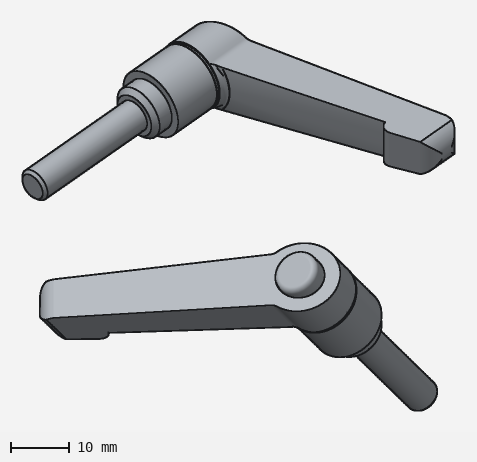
import cadquery as cq
import math

stud_radius = 3.0
stud_chamfer = 0.6
collar_radius = 5.0
collar_start = 25.0
collar_chamfer = 1.0
sleeve_radius = 6.5
sleeve_start = 29.05
hub_radius = 6.6
hub_start = 39.2
groove_radius = 6.4
groove_width = 0.55
button_radius = 4.0
button_end = 49.5
button_fillet = 1.0

lever_top = 59.0
crest_x = 41.15
slope = math.radians(16.1)
tip_x = 45.0
dome_start_x = 42.55
tip_corner_radius = 3.25
notch_x = 34.95
notch_y = 50.4
bump_x = 37.3
bump_y = 49.05
bump_mid = (35.6, 49.35)
grip_end_y = 51.1
tip_low_mid = (44.3, 52.6)
tip_flat_low_y = 54.3
underside_y = 40.0
underside_x = 5.2

root_x = 4.85
root_half_width = 4.95
dome_half_width = 3.7
root_fillet = 1.8
hub_blend = 1.1
root_crown = 0.5
notch_crown = 0.03


def turned(radius, start, end):
    """Cylinder on the Y axis between two stations."""
    return cq.Workplane("XZ", origin=(0, start, 0)).circle(radius).extrude(start - end)


def underside_at(x):
    """Height of the straight lever underside at a given X."""
    rise = (notch_y - underside_y) / (notch_x - underside_x)
    return underside_y + (x - underside_x) * rise


def lever_plan():
    """Outline of hub top and lever in XY, as a slab across the full width."""
    left_y = lever_top - (crest_x + hub_radius) * math.tan(slope)
    corner_x = tip_x - tip_corner_radius
    corner_y = lever_top - tip_corner_radius
    diagonal = tip_corner_radius * math.sqrt(0.5)
    return (
        cq.Workplane("XY")
        .moveTo(-hub_radius, hub_start)
        .lineTo(0, hub_start)
        .lineTo(underside_x, underside_y)
        .lineTo(notch_x, notch_y)
        .threePointArc(bump_mid, (bump_x, bump_y))
        .lineTo(dome_start_x, grip_end_y)
        .threePointArc(tip_low_mid, (tip_x, tip_flat_low_y))
        .lineTo(tip_x, corner_y)
        .threePointArc((corner_x + diagonal, corner_y + diagonal), (corner_x, lever_top))
        .lineTo(crest_x, lever_top)
        .lineTo(-hub_radius, left_y)
        .close()
        .extrude(hub_radius, both=True)
    )


def lever_width_column():
    """Tapered, round-ended lever outline in XZ, as a column along Y."""
    taper = (root_half_width - dome_half_width) / (dome_start_x - root_x)
    axis_half_width = root_half_width + taper * root_x
    return (
        cq.Workplane("XZ", origin=(0, hub_start, 0))
        .moveTo(0, -axis_half_width)
        .lineTo(dome_start_x, -dome_half_width)
        .threePointArc((tip_x, 0), (dome_start_x, dome_half_width))
        .lineTo(0, axis_half_width)
        .close()
        .extrude(hub_start - lever_top)
    )


def crown_section(x, crown):
    """Bowed slice of the underside in a YZ plane, embedded in the lever by the crown height."""
    edge_y = underside_at(x)
    return (
        cq.Workplane("YZ", origin=(x, 0, 0))
        .moveTo(edge_y + crown, -root_half_width)
        .lineTo(edge_y, -root_half_width)
        .threePointArc((edge_y - crown, 0), (edge_y, root_half_width))
        .lineTo(edge_y + crown, root_half_width)
        .close()
        .wire()
        .val()
    )


def underside_crown():
    """Bowed underside that fades from the hub to the grip notch."""
    root = crown_section(underside_x, root_crown)
    notch = crown_section(notch_x, notch_crown)
    return cq.Workplane(cq.Solid.makeLoft([root, notch], True))


def hub_blend_ring():
    """Half ring with a concave outside that carries the hub into the lever underside."""
    outer = hub_radius + hub_blend
    top = hub_start + hub_blend
    mid = hub_blend * (1 - math.sqrt(0.5))
    return (
        cq.Workplane("XY")
        .moveTo(0, hub_start)
        .lineTo(hub_radius, hub_start)
        .threePointArc((hub_radius + mid, top - mid), (outer, top))
        .lineTo(outer, underside_at(outer))
        .lineTo(0, underside_at(outer))
        .close()
        .revolve(180, (0, 0, 0), (0, 1, 0))
        .rotate((0, 0, 0), (0, 1, 0), -90)
    )


root_edges = cq.selectors.BoxSelector(
    (groove_radius / 2, hub_start, -hub_radius),
    (groove_radius, lever_top, hub_radius),
)
silhouette = (
    turned(hub_radius, hub_start, lever_top)
    .union(lever_width_column())
    .edges("|Y")
    .edges(root_edges)
    .fillet(root_fillet)
)
hub_base = turned(hub_radius, hub_start, underside_at(hub_radius))
lever = silhouette.intersect(lever_plan())
crown = underside_crown().intersect(silhouette)
blend = hub_blend_ring().intersect(silhouette)

stud = turned(stud_radius, 0, collar_start).faces("<Y").chamfer(stud_chamfer)
collar = turned(collar_radius, collar_start, sleeve_start).faces("<Y").chamfer(collar_chamfer)
sleeve = turned(sleeve_radius, sleeve_start, hub_start - groove_width)
groove = turned(groove_radius, hub_start - groove_width, hub_start)
button = turned(button_radius, hub_start, button_end).faces(">Y").edges().fillet(button_fillet)

result = stud
for piece in (collar, sleeve, groove, hub_base, lever, crown, blend, button):
    result = result.union(piece)